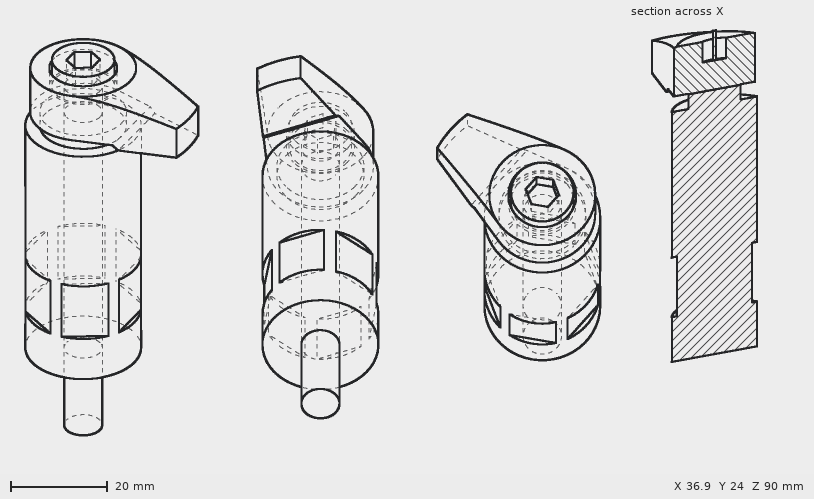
import cadquery as cq
import math

TOTAL_HEIGHT = 90.0
HOUSING_BOTTOM = 19.1
FLATS_BOTTOM = 29.0
FLATS_HEIGHT = 13.0
HOUSING_TOP = 73.9
HUB_BOTTOM = 77.1
HEAD_PROJECTION = 2.0
HUB_TOP = TOTAL_HEIGHT - HEAD_PROJECTION

HOUSING_DIAMETER = 24.0
HOUSING_RADIUS = HOUSING_DIAMETER / 2
NECK_RADIUS = 9.0
ACROSS_FLATS = 22.0
FLAT_COUNT = 6

SHANK_RADIUS = 4.0
HEAD_RADIUS = 6.5
SOCKET_ACROSS_FLATS = 6.0
SOCKET_DEPTH = 4.5

HUB_RADIUS = 11.0
COUNTERBORE_RADIUS = 7.0
COUNTERBORE_DEPTH = 4.5
COUNTERBORE_FLOOR = HUB_TOP - COUNTERBORE_DEPTH
OVERALL_LENGTH = 36.9
ARM_REACH = OVERALL_LENGTH - HOUSING_RADIUS
ARM_SIDE_ANGLE = math.radians(15)
ARM_BOTTOM = 76.05
ARM_TIP_TOP = 83.2
STEP_START = 11.25
STEP_END = 12.5


def cylinder(radius, bottom, top):
    """Upright cylinder on the common axis."""
    return cq.Workplane("XY").workplane(offset=bottom).circle(radius).extrude(top - bottom)


def hexagon_prism(across_flats, bottom, height):
    """Upright hexagonal prism with two faces square to X."""
    across_corners = across_flats / math.cos(math.pi / 6)
    return (
        cq.Workplane("XY")
        .workplane(offset=bottom)
        .transformed(rotate=(0, 0, 30))
        .polygon(6, across_corners)
        .extrude(height)
    )


def make_housing():
    """Round housing with a neck, spanner flats and a bore for the shank."""
    housing = cylinder(HOUSING_RADIUS, HOUSING_BOTTOM, HOUSING_TOP)
    housing = housing.union(cylinder(NECK_RADIUS, HOUSING_TOP, HUB_BOTTOM))
    flat_depth = HOUSING_RADIUS - ACROSS_FLATS / 2
    flat_cutter = (
        cq.Workplane("XY")
        .workplane(offset=FLATS_BOTTOM)
        .center(ACROSS_FLATS / 2 + flat_depth, 0)
        .rect(2 * flat_depth, 2 * HOUSING_RADIUS)
        .extrude(FLATS_HEIGHT)
    )
    for index in range(FLAT_COUNT):
        angle = index * 360 / FLAT_COUNT
        housing = housing.cut(flat_cutter.rotate((0, 0, 0), (0, 0, 1), angle))
    return housing.cut(cylinder(SHANK_RADIUS, HOUSING_BOTTOM, HUB_BOTTOM))


def make_arm():
    """Tapered arm, tangent to the hub, with a conical top and a stepped underside."""
    sine = math.sin(ARM_SIDE_ANGLE)
    cosine = math.cos(ARM_SIDE_ANGLE)
    tangent_x = HUB_RADIUS * sine
    tangent_y = HUB_RADIUS * cosine
    side_length = math.sqrt(ARM_REACH**2 - HUB_RADIUS**2)
    tip_x = tangent_x + side_length * cosine
    tip_y = tangent_y - side_length * sine
    arm = (
        cq.Workplane("XY")
        .workplane(offset=ARM_BOTTOM)
        .moveTo(0, 0)
        .lineTo(tangent_x, -tangent_y)
        .lineTo(tip_x, -tip_y)
        .threePointArc((ARM_REACH, 0), (tip_x, tip_y))
        .lineTo(tangent_x, tangent_y)
        .close()
        .extrude(HUB_TOP - ARM_BOTTOM)
    )
    conical_top = (
        cq.Workplane("XZ")
        .moveTo(0, ARM_BOTTOM)
        .lineTo(ARM_REACH, ARM_BOTTOM)
        .lineTo(ARM_REACH, ARM_TIP_TOP)
        .lineTo(HUB_RADIUS, HUB_TOP)
        .lineTo(0, HUB_TOP)
        .close()
        .revolve(360, (0, 0, 0), (0, 1, 0))
    )
    underside_relief = (
        cq.Workplane("XZ")
        .moveTo(0, ARM_BOTTOM)
        .lineTo(STEP_END, ARM_BOTTOM)
        .lineTo(STEP_START, HUB_BOTTOM)
        .lineTo(0, HUB_BOTTOM)
        .close()
        .extrude(HUB_RADIUS, both=True)
    )
    return arm.intersect(conical_top).cut(underside_relief)


def make_lever():
    """Hub with its arm, bored for the shank and counterbored for the head."""
    lever = cylinder(HUB_RADIUS, HUB_BOTTOM, HUB_TOP).union(make_arm())
    lever = lever.cut(cylinder(SHANK_RADIUS, HUB_BOTTOM, HUB_TOP))
    return lever.cut(cylinder(COUNTERBORE_RADIUS, COUNTERBORE_FLOOR, HUB_TOP))


def make_spindle():
    """Shank with a socket head seated on the counterbore floor."""
    spindle = cylinder(SHANK_RADIUS, 0, COUNTERBORE_FLOOR)
    spindle = spindle.union(cylinder(HEAD_RADIUS, COUNTERBORE_FLOOR, TOTAL_HEIGHT))
    socket = hexagon_prism(SOCKET_ACROSS_FLATS, TOTAL_HEIGHT - SOCKET_DEPTH, SOCKET_DEPTH)
    return spindle.cut(socket)


housing = make_housing()
lever = make_lever()
spindle = make_spindle()

result = cq.Compound.makeCompound([housing.val(), lever.val(), spindle.val()])